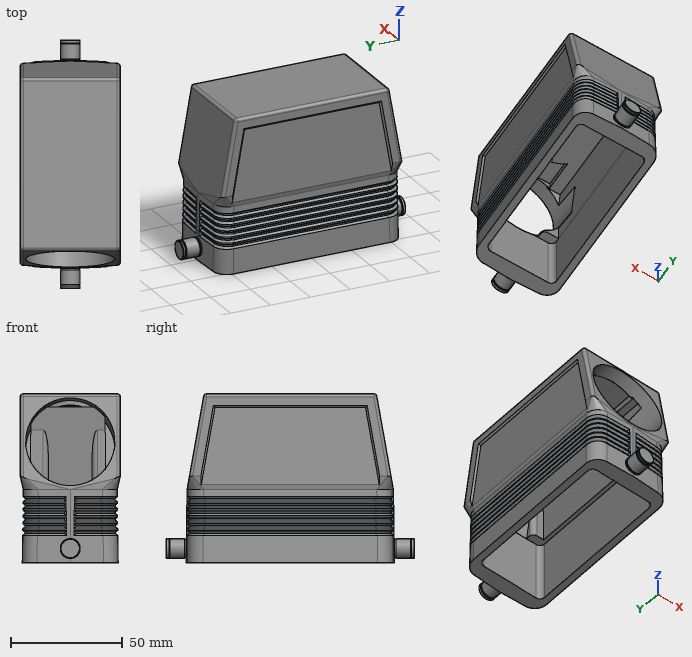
import cadquery as cq
import math

TOTAL_LENGTH = 111.7
TOTAL_HEIGHT = 76.0
HOOD_WIDTH = 45.0

SKIRT_HALF_WIDTH = 21.6
SKIRT_HALF_LENGTH = 46.8
SKIRT_HEIGHT = 33.0
SKIRT_TAPER = 0.5
SKIRT_CORNER_RADIUS = 6.9
END_ANGLE = 2.5

GROOVE_COUNT = 6
GROOVE_PITCH = 3.0
FIRST_CREST_Z = 12.0
CREST_HEIGHT = 0.7
GROOVE_FLOOR_HEIGHT = 0.7
GROOVE_DEPTH = 1.0
BAR_HALF_WIDTH = 1.5
BAR_FOOT_HALF_WIDTH = 2.7

FLARE_TOP = 39.0
HOOD_SLOPE = 10.1
HOOD_EDGE_RADIUS = 1.5

PANEL_DEPTH = 0.9
PANEL_TOP = 70.7
PANEL_END_MARGIN = 5.1

BORE_RADIUS = 20.0
BORE_CENTRE_Z = 54.4
BORE_DEPTH = 20.5

END_WALL = 6.9
CAVITY_CENTRE_X = -1.0
CAVITY_ROOF = 69.9
CAVITY_ROOF_WIDTH = 33.2
CAVITY_FLOOR_WIDTH = 34.0
SOCKET_HEIGHT = 34.6
SOCKET_WIDTH = 36.0
SOCKET_LENGTH = 78.2
SOCKET_CORNER_RADIUS = 2.8
PILLAR_HALF_GAP = 9.7
PILLAR_TOP = 59.6
PILLAR_EDGE_RADIUS = 2.5

POCKET_HALF_WIDTH = 11.7
POCKET_FRONT_Y = -32.3
POCKET_BACK_Y = -21.2
POCKET_TOP = 73.5
POCKET_BACK_RADIUS = 20.1

PEG_RADIUS = 4.5
PEG_Z = 6.5
PEG_TIP_CHAMFER = 0.3
PEG_GROOVE_START = 1.3
PEG_GROOVE_WIDTH = 0.6
PEG_GROOVE_DEPTH = 0.3

END_TANGENT = math.tan(math.radians(END_ANGLE))
SLOPE_TANGENT = math.tan(math.radians(HOOD_SLOPE))


def hood_half_length(z):
    """Half length of the sloping hood at height z."""
    return SKIRT_HALF_LENGTH - SKIRT_TAPER - (z - SKIRT_HEIGHT) * SLOPE_TANGENT


def outline(half_width, half_length, z, radius):
    """Rectangle with V-shaped Y ends and rounded corners."""
    corner_y = half_length - half_width * END_TANGENT
    points = [
        (half_width, -corner_y),
        (half_width, corner_y),
        (0, half_length),
        (-half_width, corner_y),
        (-half_width, -corner_y),
        (0, -half_length),
    ]
    wire = cq.Wire.makePolygon([cq.Vector(x, y, z) for x, y in points], close=True)
    corners = [v for v in wire.Vertices() if abs(v.X) > half_width / 2]
    return wire.fillet2D(radius, corners)


def skirt_outline(z, inset=0.0):
    """Skirt section at height z, moved inward by inset."""
    shrink = SKIRT_TAPER * z / SKIRT_HEIGHT + inset
    return outline(SKIRT_HALF_WIDTH - shrink, SKIRT_HALF_LENGTH - shrink, z, SKIRT_CORNER_RADIUS)


def ruled_solid(wires):
    return cq.Workplane(cq.Solid.makeLoft(wires, True))


def make_skirt():
    """Grooved skirt with a plain bar crossing the grooves on each end."""
    sections = [skirt_outline(0)]
    flank = (GROOVE_PITCH - CREST_HEIGHT - GROOVE_FLOOR_HEIGHT) / 2
    for i in range(GROOVE_COUNT):
        bottom = FIRST_CREST_Z + i * GROOVE_PITCH + CREST_HEIGHT / 2
        top = bottom + GROOVE_PITCH - CREST_HEIGHT
        sections += [
            skirt_outline(bottom),
            skirt_outline(bottom + flank, GROOVE_DEPTH),
            skirt_outline(top - flank, GROOVE_DEPTH),
            skirt_outline(top),
        ]
    sections.append(skirt_outline(SKIRT_HEIGHT))
    grooved = ruled_solid(sections)

    plain = ruled_solid([skirt_outline(0), skirt_outline(SKIRT_HEIGHT)])
    foot_y = SKIRT_HALF_LENGTH - SKIRT_TAPER - GROOVE_DEPTH
    bars = (
        cq.Workplane()
        .polyline([
            (-BAR_HALF_WIDTH, -SKIRT_HALF_LENGTH),
            (BAR_HALF_WIDTH, -SKIRT_HALF_LENGTH),
            (BAR_FOOT_HALF_WIDTH, -foot_y),
            (BAR_FOOT_HALF_WIDTH, foot_y),
            (BAR_HALF_WIDTH, SKIRT_HALF_LENGTH),
            (-BAR_HALF_WIDTH, SKIRT_HALF_LENGTH),
            (-BAR_FOOT_HALF_WIDTH, foot_y),
            (-BAR_FOOT_HALF_WIDTH, -foot_y),
        ])
        .close()
        .extrude(SKIRT_HEIGHT)
    )
    return grooved.union(plain.intersect(bars))


def trapezoid(bottom, top, end_margin):
    """(y, z) corners of a trapezoid whose ends run parallel to the hood ends."""
    low = hood_half_length(bottom) - end_margin
    high = hood_half_length(top) - end_margin
    return [(-low, bottom), (low, bottom), (high, top), (-high, top)]


def make_panel_cutter():
    """Recess for the +X side, with 45 degree walls; its bottom runs out through the flare."""
    def section(x, inset):
        corners = trapezoid(SKIRT_HEIGHT, PANEL_TOP - inset, PANEL_END_MARGIN + inset)
        return cq.Wire.makePolygon([cq.Vector(x, y, z) for y, z in corners], close=True)

    face_x = HOOD_WIDTH / 2
    return ruled_solid([
        section(face_x - PANEL_DEPTH, PANEL_DEPTH),
        section(face_x + PANEL_DEPTH, -PANEL_DEPTH),
    ])


def make_hood():
    """Sloping hood, trimmed below by a flare that blends it into the skirt."""
    block = (
        cq.Workplane("YZ")
        .polyline(trapezoid(SKIRT_HEIGHT, TOTAL_HEIGHT, 0))
        .close()
        .extrude(HOOD_WIDTH / 2, both=True)
    )
    block = block.faces("<Y or >Y or >Z").edges("not <Z").fillet(HOOD_EDGE_RADIUS)
    flare = ruled_solid([
        skirt_outline(SKIRT_HEIGHT),
        outline(HOOD_WIDTH / 2, SKIRT_HALF_LENGTH - SKIRT_TAPER, FLARE_TOP, HOOD_EDGE_RADIUS),
    ])
    above_flare = cq.Workplane(origin=(0, 0, FLARE_TOP)).box(
        HOOD_WIDTH, TOTAL_LENGTH, TOTAL_HEIGHT - FLARE_TOP, centered=(True, True, False)
    )
    hood = block.intersect(flare.union(above_flare))
    panel = make_panel_cutter()
    return hood.cut(panel).cut(panel.mirror("YZ"))


def make_cavity():
    """Inside of the hood, less the corner pillars, plus the wider socket below."""
    def rectangle(width, half_length, z):
        return cq.Workplane(origin=(CAVITY_CENTRE_X, 0, z)).rect(width, 2 * half_length).val()

    cavity = ruled_solid([
        rectangle(CAVITY_FLOOR_WIDTH, hood_half_length(SOCKET_HEIGHT) - END_WALL, SOCKET_HEIGHT),
        rectangle(CAVITY_ROOF_WIDTH, hood_half_length(CAVITY_ROOF) - END_WALL, CAVITY_ROOF),
    ])

    pillar_y = hood_half_length(PILLAR_TOP) - END_WALL
    pillar_width = HOOD_WIDTH / 2 - PILLAR_HALF_GAP
    pillar_length = SKIRT_HALF_LENGTH - pillar_y
    for x_side in (-1, 1):
        for y_side in (-1, 1):
            pillar = (
                cq.Workplane(origin=(
                    x_side * (PILLAR_HALF_GAP + pillar_width / 2),
                    y_side * (pillar_y + pillar_length / 2),
                    SOCKET_HEIGHT,
                ))
                .rect(pillar_width, pillar_length)
                .extrude(PILLAR_TOP - SOCKET_HEIGHT)
                .edges("|Z")
                .fillet(PILLAR_EDGE_RADIUS)
            )
            cavity = cavity.cut(pillar)

    socket = (
        cq.Workplane()
        .rect(SOCKET_WIDTH, SOCKET_LENGTH)
        .extrude(SOCKET_HEIGHT)
        .edges("|Z")
        .fillet(SOCKET_CORNER_RADIUS)
    )
    return cavity.union(socket)


def make_bore():
    """Flat-bottomed cable entry, started outside the hood."""
    slope = math.radians(HOOD_SLOPE)
    inward = cq.Vector(0, math.cos(slope), -math.sin(slope))
    mouth = cq.Vector(0, -hood_half_length(BORE_CENTRE_Z), BORE_CENTRE_Z)
    start = mouth - inward * BORE_DEPTH
    return cq.Workplane(cq.Solid.makeCylinder(BORE_RADIUS, 2 * BORE_DEPTH, start, inward))


def make_roof_pocket():
    """Block open into the bore below, less the round back wall."""
    length = POCKET_BACK_Y + POCKET_BACK_RADIUS - POCKET_FRONT_Y
    height = POCKET_TOP - BORE_CENTRE_Z
    block = cq.Workplane(origin=(0, POCKET_FRONT_Y + length / 2, BORE_CENTRE_Z)).box(
        2 * POCKET_HALF_WIDTH, length, height, centered=(True, True, False)
    )
    back = (
        cq.Workplane(origin=(0, POCKET_BACK_Y + POCKET_BACK_RADIUS, BORE_CENTRE_Z))
        .circle(POCKET_BACK_RADIUS)
        .extrude(height)
    )
    return block.cut(back)


def make_peg():
    """Peg on the +Y end, turned about its axis, with a ring groove at each end."""
    root = SOCKET_LENGTH / 2
    tip = TOTAL_LENGTH / 2
    peg = cq.Workplane("XZ", origin=(0, root, PEG_Z)).circle(PEG_RADIUS).extrude(root - tip)
    peg = peg.faces(">Y").chamfer(PEG_TIP_CHAMFER)
    for groove_y in (SKIRT_HALF_LENGTH, tip - PEG_GROOVE_START - PEG_GROOVE_WIDTH):
        ring = (
            cq.Workplane("XZ", origin=(0, groove_y, PEG_Z))
            .circle(PEG_RADIUS + PEG_GROOVE_DEPTH)
            .circle(PEG_RADIUS - PEG_GROOVE_DEPTH)
            .extrude(-PEG_GROOVE_WIDTH)
        )
        peg = peg.cut(ring)
    return peg


peg = make_peg()
shell = make_skirt().union(make_hood()).cut(make_cavity()).cut(make_bore()).cut(make_roof_pocket())
result = shell.union(peg).union(peg.mirror("XZ"))